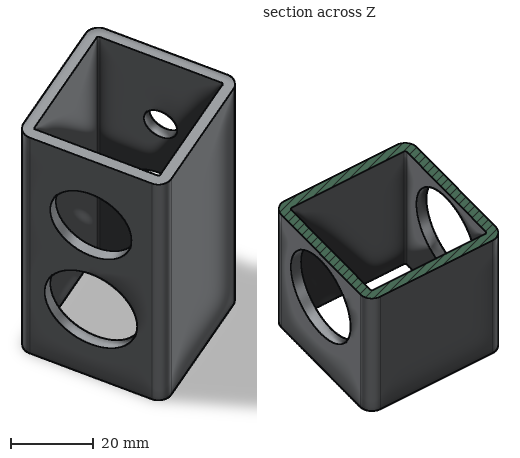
import cadquery as cq

tube_width = 40.0
tube_length = 77.0
wall = 3.0
inner_corner_radius = 0.5
outer_corner_radius = inner_corner_radius + wall

lower_hole_diameter = 25.0
lower_hole_height = 24.0
upper_hole_height = 54.0
upper_front_diameter = 22.0
upper_back_diameter = 9.0

inner_width = tube_width - 2 * wall
front_face_y = -tube_width / 2


def square_prism(width, corner_radius):
    """Full-length square bar with rounded vertical edges, standing on Z = 0."""
    bar = cq.Workplane("XY").rect(width, width).extrude(tube_length)
    return bar.edges("|Z").fillet(corner_radius)


def hole_cutter(diameter, height, start_y, depth):
    """Cylinder running in +Y from start_y, centred at the given height."""
    plane = cq.Workplane("XZ", origin=(0, start_y, height))
    return plane.circle(diameter / 2).extrude(-depth)


tube = square_prism(tube_width, outer_corner_radius).cut(
    square_prism(inner_width, inner_corner_radius)
)

lower_hole = hole_cutter(lower_hole_diameter, lower_hole_height, front_face_y, tube_width)

upper_front_hole = hole_cutter(
    upper_front_diameter, upper_hole_height, front_face_y, tube_width / 2
)
upper_back_hole = hole_cutter(upper_back_diameter, upper_hole_height, 0, tube_width / 2)

result = tube.cut(lower_hole).cut(upper_front_hole).cut(upper_back_hole)